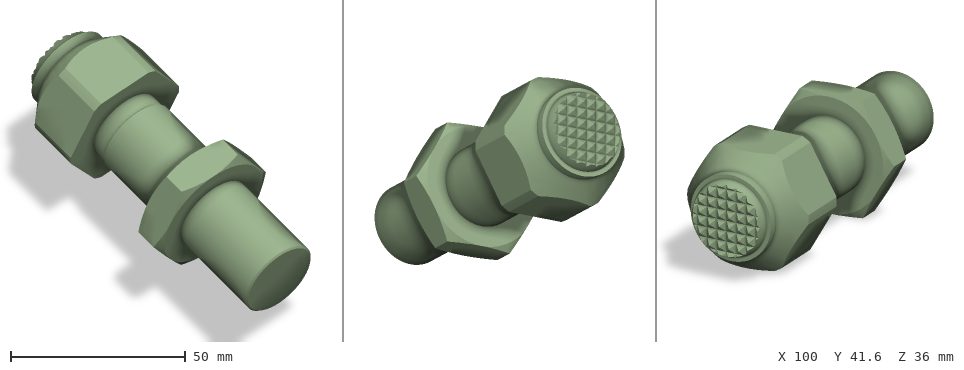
import cadquery as cq
import math

total_length = 100.0
collar_start = 4.0
collar_end = 7.0
head_end = 30.0
neck_end = 35.0
nut_start = 60.0
nut_thickness = 10.0

across_flats = 36.0
across_corners = across_flats / math.cos(math.pi / 6)

collar_radius = 13.25
head_corner_radius = 20.0
neck_radius = 11.5
shank_radius = 12.0
shank_chamfer = 0.5
head_cone_end = collar_end + head_corner_radius - collar_radius

ball_radius = 12.0
lip_bore_radius = 11.8
ball_center = collar_start + math.sqrt(ball_radius**2 - lip_bore_radius**2)

tooth_pitch = 3.2
tooth_depth = tooth_pitch / 2
groove_count = 7

nut_face_radius = across_flats / 2
nut_chamfer_length = (across_corners / 2 - nut_face_radius) * math.tan(math.pi / 6)


def revolve_about_x(profile_points):
    """Solid of revolution about X from (x, radius) points."""
    profile = cq.Workplane("XZ").polyline(profile_points).close()
    return profile.revolve(360, (0, 0, 0), (1, 0, 0))


def hexagon_bar(start, end):
    """Hexagonal bar along X with corners on the Y axis."""
    return cq.Workplane("YZ", origin=(start, 0, 0)).polygon(6, across_corners).extrude(end - start)


def make_ball():
    """Ball cut flat at the tooth tips."""
    flat_radius = math.sqrt(ball_radius**2 - ball_center**2)
    profile = (
        cq.Workplane("XZ")
        .lineTo(0, flat_radius)
        .threePointArc((ball_center, ball_radius), (ball_center + ball_radius, 0))
        .close()
    )
    return profile.revolve(360, (0, 0, 0), (1, 0, 0))


def make_bolt():
    """Hexagon-headed stud with a socket for the ball insert."""
    head_envelope = revolve_about_x([
        (collar_end, 0),
        (collar_end, collar_radius),
        (head_cone_end, head_corner_radius),
        (head_end, head_corner_radius),
        (head_end, 0),
    ])
    head = hexagon_bar(collar_end, head_end).intersect(head_envelope)
    collar = revolve_about_x([
        (collar_start, 0),
        (collar_start, collar_radius),
        (collar_end, collar_radius),
        (collar_end, 0),
    ])
    stud = revolve_about_x([
        (head_end, 0),
        (head_end, neck_radius),
        (neck_end, neck_radius),
        (neck_end + shank_chamfer, shank_radius),
        (total_length - shank_chamfer, shank_radius),
        (total_length, shank_radius - shank_chamfer),
        (total_length, 0),
    ])
    return head.union(collar).union(stud).cut(make_ball())


def make_grooves(plane):
    """V-grooves across the ball face, drawn as a zigzag on a plane that holds the X axis."""
    half_width = groove_count * tooth_pitch / 2
    grooves = cq.Workplane(plane).moveTo(0, -half_width)
    for index in range(groove_count):
        tip = -half_width + index * tooth_pitch
        grooves = grooves.lineTo(tooth_depth, tip + tooth_pitch / 2).lineTo(0, tip + tooth_pitch)
    return grooves.close().extrude(ball_radius, both=True)


def make_insert():
    """Ball with its flat face serrated both ways."""
    insert = make_ball()
    for plane in ("XY", "XZ"):
        insert = insert.cut(make_grooves(plane))
    return insert


def make_nut():
    """Hexagon nut, chamfered on both faces and bored to fit the shank."""
    nut_end = nut_start + nut_thickness
    corner_radius = across_corners / 2
    envelope = revolve_about_x([
        (nut_start, 0),
        (nut_start, nut_face_radius),
        (nut_start + nut_chamfer_length, corner_radius),
        (nut_end - nut_chamfer_length, corner_radius),
        (nut_end, nut_face_radius),
        (nut_end, 0),
    ])
    bore = cq.Workplane("YZ", origin=(nut_start, 0, 0)).circle(shank_radius).extrude(nut_thickness)
    return hexagon_bar(nut_start, nut_end).intersect(envelope).cut(bore)


bolt = make_bolt()
insert = make_insert()
nut = make_nut()

result = cq.Compound.makeCompound([body.solids().val() for body in (bolt, insert, nut)])